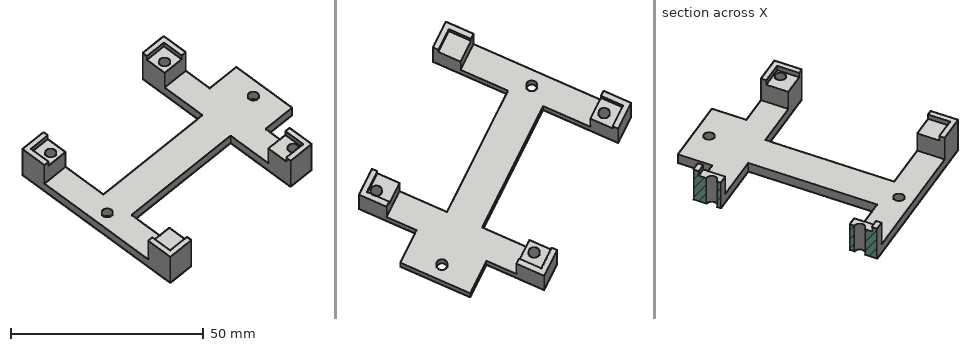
import cadquery as cq

width = 53.2
length = 63.2
height = 10.5
plate_thickness = 3.05

arm_depth = 7.95
spine_width = 10.1
tab_width = 20.1
tab_length = 10.0
rear_arm_edge = length - tab_length

post_size = arm_depth
seat_wall = 1.6
seat_depth = 1.5
seat_size = post_size - seat_wall

hole_diameter = 3.0
plate_hole_inset = 4.1
left_hole_x = -21.25
front_left_hole_y = 5.05
rear_left_hole_y = 47.9
rear_right_hole = (23.2, 49.8)
hole_centers = [
    (0, plate_hole_inset),
    (0, length - plate_hole_inset),
    (left_hole_x, front_left_hole_y),
    (left_hole_x, rear_left_hole_y),
    rear_right_hole,
]


def block(size_x, size_y, size_z, x_center, y_start, z_start=0):
    """Box centred on x_center and rising from y_start and z_start."""
    box = cq.Workplane("XY").box(size_x, size_y, size_z, centered=(True, False, False))
    return box.translate((x_center, y_start, z_start))


def make_plate():
    """Two cross arms joined by a spine, with a tab behind the rear arm."""
    front_arm = block(width, arm_depth, plate_thickness, 0, 0)
    rear_arm = block(width, arm_depth, plate_thickness, 0, rear_arm_edge - arm_depth)
    spine = block(spine_width, rear_arm_edge, plate_thickness, 0, 0)
    tab = block(tab_width, tab_length, plate_thickness, 0, rear_arm_edge)
    return front_arm.union(rear_arm).union(spine).union(tab)


def make_post(side, is_rear):
    """Corner post; side is -1 for left and 1 for right."""
    post_y = rear_arm_edge - post_size if is_rear else 0
    post_x = side * (width - post_size) / 2
    post = block(post_size, post_size, height, post_x, post_y)

    seat_x = post_x - side * seat_wall / 2
    seat_y = post_y if is_rear else seat_wall
    seat = block(seat_size, seat_size, seat_depth, seat_x, seat_y, height - seat_depth)
    return post.cut(seat)


result = make_plate()
for side in (-1, 1):
    for is_rear in (False, True):
        result = result.union(make_post(side, is_rear))

holes = cq.Workplane("XY").pushPoints(hole_centers).circle(hole_diameter / 2).extrude(height)
result = result.cut(holes)